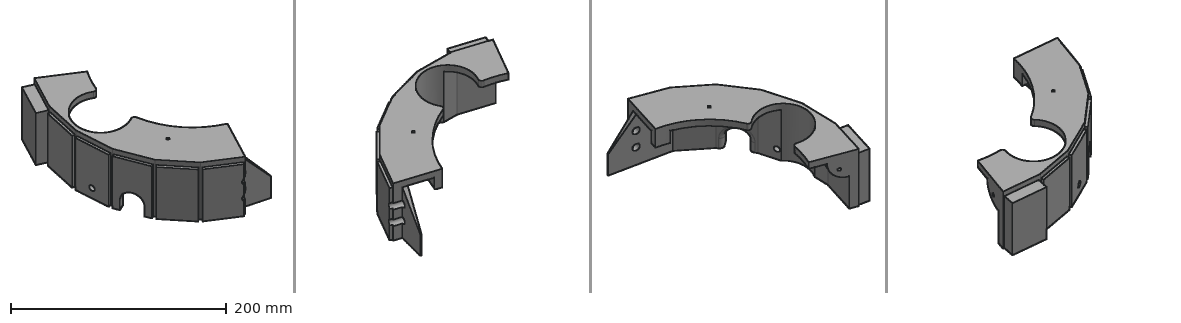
import cadquery as cq
import math

side_count = 22
facet_count = 6
facet_step = 360 / side_count
half_step = math.radians(facet_step / 2)
facet_length = 42.5
center_x = facet_length / 2
outer_radius = facet_length / 2 / math.sin(half_step)
outer_apothem = outer_radius * math.cos(half_step)
center_y = outer_apothem
wall_inner_radius = 139.9
wall_inner_apothem = wall_inner_radius * math.cos(half_step)
plate_inner_radius = 99.0
height = 69.7
plate_thickness = 8.0
plate_bottom = height - plate_thickness

opening_radius = 29.7
opening_x = 66.0
opening_y = 42.3
opening_corner_radius = 3.5

pad_width = 39.3
pad_height = 63.5
pad_thickness = 3.0
first_pad_thickness = 12.5

fin_length = 30.1
fin_tip_height = 26.1
fin_hole_diameter = 8.0
fin_hole_heights = (21.7, 41.7)

rib_thickness = 8.0
rib_radius = 22.3
rib_hole_diameter = 3.5
rib_hole_depth = 19.5
rib_hole_height = 51.0
tab_length = 15.0
tab_width = 8.0
tab_bottom = 46.9
tab_edge_radius = 2.0

plate_hole_diameter = 2.9
plate_hole_x = 122.5
plate_hole_y = 88.6
wall_hole_diameter = 6.5
wall_hole_facet = 2
low_hole_height = 12.5
arch_facet = 3
arch_radius = 12.2
arch_edge_radius = 5.0

overlap = 1.0
cut_margin = 9.5


def ring_point(radius, angle):
    """Point at an angle in degrees, turned from the -Y direction towards +X."""
    turn = math.radians(angle)
    return (center_x + radius * math.sin(turn), center_y - radius * math.cos(turn))


def corner(radius, index):
    """Polygon corner number index; corner 0 begins the first facet."""
    return ring_point(radius, (index - 0.5) * facet_step)


def facet_plane(index, apothem):
    """Plane on a facet at z = 0: x runs along the facet, y is up, the normal points outward."""
    angle = index * facet_step
    turn = math.radians(angle)
    x, y = ring_point(apothem, angle)
    return cq.Plane(
        origin=(x, y, 0),
        xDir=(math.cos(turn), math.sin(turn), 0),
        normal=(math.sin(turn), -math.cos(turn), 0),
    )


corner_count = facet_count + 1
outer_corners = [corner(outer_radius, i) for i in range(corner_count)]
inner_corners = [corner(wall_inner_radius, i) for i in range(corner_count)]


def make_plate():
    """Top plate with its end tab, bored together to one inner arc."""
    sector = (
        cq.Workplane("XY", origin=(0, 0, plate_bottom))
        .polyline(outer_corners + [(center_x, center_y)])
        .close()
        .extrude(plate_thickness)
    )
    bore = cq.Workplane("XY").center(center_x, center_y).circle(plate_inner_radius).extrude(height)
    plate = sector.union(make_tab()).cut(bore).cut(make_opening())
    for x, y in opening_arc_crossings():
        nearby = cq.selectors.BoxSelector((x - overlap, y - overlap, 0), (x + overlap, y + overlap, height))
        plate = plate.edges("|Z").edges(nearby).fillet(opening_corner_radius)
    return plate


def opening_arc_crossings():
    """Both crossings of the opening circle with the inner arc of the plate."""
    dx = opening_x - center_x
    dy = opening_y - center_y
    distance = math.hypot(dx, dy)
    heading = math.degrees(math.atan2(dx, -dy))
    cosine = (plate_inner_radius**2 + distance**2 - opening_radius**2) / (2 * plate_inner_radius * distance)
    spread = math.degrees(math.acos(cosine))
    return [ring_point(plate_inner_radius, heading + sign * spread) for sign in (-1, 1)]


def make_opening():
    return cq.Workplane("XY").center(opening_x, opening_y).circle(opening_radius).extrude(height)


def make_wall():
    return cq.Workplane("XY").polyline(outer_corners + inner_corners[::-1]).close().extrude(height)


def make_pad(index):
    thickness = first_pad_thickness if index == 0 else pad_thickness
    return (
        cq.Workplane(facet_plane(index, outer_apothem - overlap))
        .center(0, pad_height / 2)
        .rect(pad_width, pad_height)
        .extrude(thickness + overlap)
    )


def make_fin():
    """Flat plate along Y whose outer face lies on the next facet of the inner wall."""
    face_x, face_start_y = inner_corners[facet_count - 1]
    end_x, end_y = inner_corners[facet_count]
    tip_y = center_y + fin_length
    tip_x = end_x - fin_length * math.tan(half_step)
    plan = (
        cq.Workplane("XY")
        .polyline([
            (face_x, face_start_y),
            (end_x + overlap, end_y),
            (end_x, end_y),
            (tip_x, tip_y),
            (face_x, tip_y),
        ])
        .close()
        .extrude(plate_bottom)
    )
    profile = (
        cq.Workplane("YZ")
        .polyline([
            (face_start_y, 0),
            (tip_y, 0),
            (tip_y, fin_tip_height),
            (center_y, plate_bottom),
            (face_start_y, plate_bottom),
        ])
        .close()
        .extrude(face_x + outer_radius)
    )
    return plan.intersect(profile)


def start_plane():
    """Plane of the start face: x runs towards the ring center, y is up, the normal points into the part."""
    turn = math.radians(facet_step / 2)
    return cq.Plane(
        origin=(0, 0, 0),
        xDir=(math.sin(turn), math.cos(turn), 0),
        normal=(math.cos(turn), -math.sin(turn), 0),
    )


def make_rib():
    wall_depth = outer_radius - wall_inner_radius
    rib = (
        cq.Workplane(start_plane())
        .moveTo(wall_depth - overlap, plate_bottom + overlap)
        .lineTo(wall_depth + rib_radius, plate_bottom + overlap)
        .lineTo(wall_depth + rib_radius, plate_bottom)
        .radiusArc((wall_depth, plate_bottom - rib_radius), rib_radius)
        .lineTo(wall_depth - overlap, plate_bottom - rib_radius)
        .close()
        .extrude(rib_thickness)
    )
    hole = (
        cq.Workplane(start_plane())
        .center(rib_hole_depth, rib_hole_height)
        .circle(rib_hole_diameter / 2)
        .extrude(rib_thickness)
    )
    return rib.cut(hole)


def make_tab():
    """Lip hanging below the plate at the +Y end, before the inner arc is bored."""
    tab_x = center_x + plate_inner_radius
    return (
        cq.Workplane("XY")
        .box(2 * tab_width, tab_length, height - tab_bottom, centered=False)
        .translate((tab_x - tab_width, center_y - tab_length, tab_bottom))
        .edges(">X and <Z")
        .fillet(tab_edge_radius)
    )


def make_fin_holes():
    return (
        cq.Workplane("YZ", origin=(inner_corners[facet_count - 1][0] - cut_margin, 0, 0))
        .pushPoints([(center_y, z) for z in fin_hole_heights])
        .circle(fin_hole_diameter / 2)
        .extrude(outer_radius)
    )


def make_plate_hole():
    return (
        cq.Workplane("XY", origin=(plate_hole_x, plate_hole_y, plate_bottom))
        .circle(plate_hole_diameter / 2)
        .extrude(plate_thickness)
    )


def make_wall_hole():
    reach = outer_apothem - wall_inner_apothem + 2 * cut_margin
    return (
        cq.Workplane(facet_plane(wall_hole_facet, wall_inner_apothem - cut_margin))
        .center(0, low_hole_height)
        .circle(wall_hole_diameter / 2)
        .extrude(reach)
    )


def arch_sketch(apothem, radius):
    """Doorway outline with a half-round head, standing on z = 0."""
    return (
        cq.Workplane(facet_plane(arch_facet, apothem))
        .moveTo(-radius, 0)
        .lineTo(-radius, low_hole_height)
        .threePointArc((0, low_hole_height + radius), (radius, low_hole_height))
        .lineTo(radius, 0)
        .close()
    )


def make_arch():
    """Doorway through the wall, flaring with a rounded edge on the inside."""
    depth = outer_apothem + pad_thickness - wall_inner_apothem
    throat = arch_sketch(wall_inner_apothem, arch_radius).extrude(depth + cut_margin)
    mouth_radius = arch_radius + arch_edge_radius
    mouth = arch_sketch(wall_inner_apothem, mouth_radius).extrude(arch_edge_radius)
    base = facet_plane(arch_facet, wall_inner_apothem)
    across = cq.Plane(origin=base.origin, xDir=base.xDir, normal=(0, 0, 1))

    def edge_profile(plane, side):
        return (
            cq.Workplane(plane)
            .moveTo(side * mouth_radius, 0)
            .radiusArc((side * arch_radius, -arch_edge_radius), -side * arch_edge_radius)
            .lineTo(side * mouth_radius, -arch_edge_radius)
            .close()
        )

    for side in (-1, 1):
        mouth = mouth.cut(edge_profile(across, side).extrude(low_hole_height))
    head_plane = cq.Plane(
        origin=base.toWorldCoords((0, low_hole_height, 0)), xDir=base.xDir, normal=(0, 0, 1)
    )
    head = edge_profile(head_plane, 1).revolve(180, (0, 0, 0), (0, -1, 0))
    return throat.union(mouth.cut(head))


body = make_wall().cut(make_opening()).union(make_plate())
body = body.union(make_fin()).union(make_rib())
for pad_index in range(facet_count):
    body = body.union(make_pad(pad_index))
for cutter in (make_fin_holes(), make_plate_hole(), make_wall_hole(), make_arch()):
    body = body.cut(cutter)
result = body